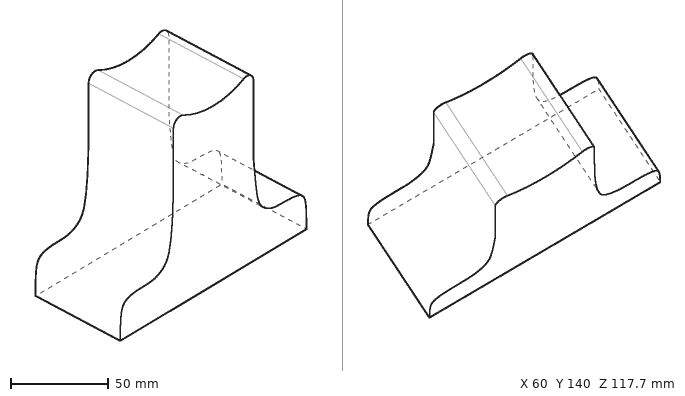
import cadquery as cq
import math

thickness = 60.0
base_length = 140.0
height = 117.7
neck_width = 60.0
lip_radius = 5.0
saddle_radius = 50.0

flank_points = [
    (69.6, 13.7),
    (67.3, 21.7),
    (58.8, 25.0),
    (43.4, 26.3),
    (36.4, 30.8),
    (32.5, 41.3),
    (30.7, 58.8),
]

half_base = base_length / 2
half_neck = neck_width / 2

lip_y = half_neck - lip_radius
lip_z = height - lip_radius
center_distance = saddle_radius + lip_radius
saddle_z = lip_z + math.sqrt(center_distance**2 - lip_y**2)
saddle_bottom = saddle_z - saddle_radius
joint_y = lip_y * saddle_radius / center_distance
joint_z = saddle_z - (saddle_z - lip_z) * saddle_radius / center_distance


def mirrored(points):
    """Reflect points across the mid-plane and reverse their order."""
    return [(-y, z) for y, z in reversed(points)]


right_flank = flank_points + [(half_neck, lip_z)]
left_flank = mirrored([(half_base, 0)] + flank_points)
up = (0, 1)
down = (0, -1)

profile = (
    cq.Workplane("YZ", origin=(-thickness / 2, 0, 0))
    .moveTo(-half_base, 0)
    .lineTo(half_base, 0)
    .spline(right_flank, tangents=[up, up], includeCurrent=True)
    .threePointArc((lip_y, height), (joint_y, joint_z))
    .threePointArc((0, saddle_bottom), (-joint_y, joint_z))
    .threePointArc((-lip_y, height), (-half_neck, lip_z))
    .spline(left_flank, tangents=[down, down], includeCurrent=True)
    .close()
)

result = profile.extrude(thickness)